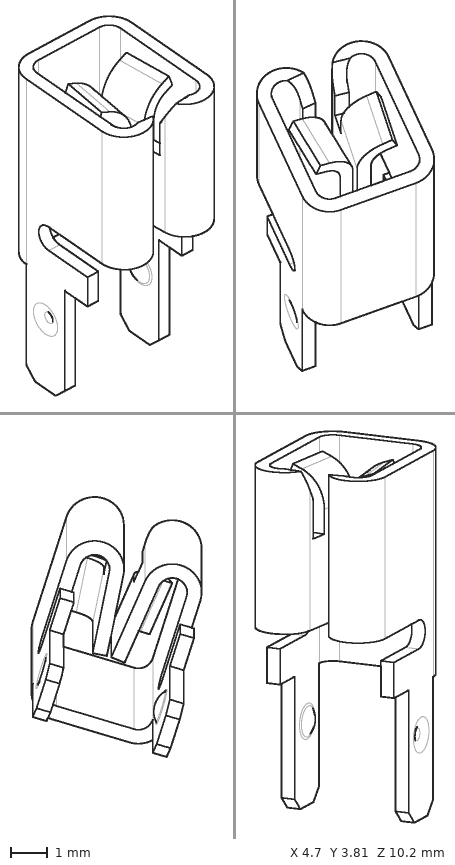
import cadquery as cq
import math

length = 4.7
width = 3.81
height = 10.16
sheet = 0.4
bend_radius = 0.8
half_width = width / 2

shell_bottom = 3.81
pin_width = 1.57
pin_chamfer = 0.37
foot_end = 3.32
slot_start = 1.32
slot_top = 5.62
slot_width = 0.8

dimple_height = 2.38
dimple_radius = 0.5
dimple_rise = 0.18
dent_ball_radius = 0.26

arm_tilt = 6.0
arm_length = 2.33
slope_start = -0.35
notch_start = 0.18
notch_end = 0.76
slope_drop = 0.9
notch_depth = 2.0

flare_radius = 1.1
flare_angle = 70.0
flare_tip_length = 0.29
flare_tip_drop = 0.16

bend_start = bend_radius
curl_x = length - bend_radius
curl_y = -half_width + bend_radius
inner_radius = bend_radius - sheet


def polar(center, radius, degrees):
    angle = math.radians(degrees)
    return (center[0] + radius * math.cos(angle), center[1] + radius * math.sin(angle))


def half_shell():
    """Back wall, rounded corner and side wall on the -Y side, cut to the side outline."""
    corner = (bend_start, curl_y)
    strip = (
        cq.Workplane("XY")
        .moveTo(0, 0)
        .lineTo(0, curl_y)
        .threePointArc(polar(corner, bend_radius, 225), (bend_start, -half_width))
        .lineTo(curl_x, -half_width)
        .lineTo(curl_x, -half_width + sheet)
        .lineTo(bend_start, -half_width + sheet)
        .threePointArc(polar(corner, inner_radius, 225), (sheet, curl_y))
        .lineTo(sheet, 0)
        .close()
        .extrude(height)
    )
    pin_end = bend_start + pin_width
    slot_radius = slot_width / 2
    slot_bottom = slot_top - slot_width
    outline = (
        cq.Workplane("XZ")
        .moveTo(0, height)
        .lineTo(0, shell_bottom)
        .lineTo(bend_start, shell_bottom)
        .lineTo(bend_start, pin_chamfer)
        .lineTo(bend_start + pin_chamfer, 0)
        .lineTo(pin_end - pin_chamfer, 0)
        .lineTo(pin_end, pin_chamfer)
        .lineTo(pin_end, shell_bottom)
        .lineTo(foot_end, shell_bottom)
        .lineTo(foot_end, slot_bottom)
        .lineTo(slot_start + slot_radius, slot_bottom)
        .threePointArc((slot_start, slot_top - slot_radius), (slot_start + slot_radius, slot_top))
        .lineTo(curl_x, slot_top)
        .lineTo(curl_x, height)
        .close()
        .extrude(half_width)
    )
    return strip.intersect(outline)


def emboss_dimple(shell):
    """Replace a disc of the pin by a dome of constant sheet thickness."""
    radius_sum = (dimple_radius**2 + dimple_rise**2) / (2 * dimple_rise)
    lip_radius = radius_sum - dent_ball_radius
    turn = math.degrees(math.asin(dimple_radius / radius_sum))
    ball_center = (0, dimple_rise - dent_ball_radius)
    lip_center = (dimple_radius, lip_radius)
    dome_radius = dent_ball_radius + sheet
    inner_lip_radius = lip_radius - sheet

    plane = cq.Plane(
        origin=(bend_start + pin_width / 2, -half_width, dimple_height),
        xDir=(1, 0, 0),
        normal=(0, 0, 1),
    )
    dome = (
        cq.Workplane(plane)
        .moveTo(0, dimple_rise)
        .threePointArc(
            polar(ball_center, dent_ball_radius, 90 - turn / 2),
            polar(ball_center, dent_ball_radius, 90 - turn),
        )
        .threePointArc(polar(lip_center, lip_radius, 270 - turn / 2), (dimple_radius, 0))
        .lineTo(dimple_radius, sheet)
        .threePointArc(
            polar(lip_center, inner_lip_radius, 270 - turn / 2),
            polar(lip_center, inner_lip_radius, 270 - turn),
        )
        .threePointArc(polar(ball_center, dome_radius, 90 - turn / 2), (0, dimple_rise + sheet))
        .close()
        .revolve(360, (0, 0), (0, 1))
    )
    disc = cq.Workplane("XZ", origin=plane.origin.toTuple()).circle(dimple_radius).extrude(-sheet)
    return shell.cut(disc).union(dome)


def half_spring():
    """Curl, tilted arm and flared contact tab on the -Y side."""
    curl = (curl_x, curl_y)
    arm_angle = 90 - arm_tilt
    along = polar((0, 0), 1, 180 - arm_tilt)
    across = polar((0, 0), 1, arm_angle)
    outer_start = polar(curl, bend_radius, arm_angle)
    inner_start = polar(curl, inner_radius, arm_angle)
    outer_end = polar(outer_start, arm_length, 180 - arm_tilt)
    inner_end = polar(inner_start, arm_length, 180 - arm_tilt)
    blank = (
        cq.Workplane("XY", origin=(0, 0, slot_top))
        .moveTo(curl_x, -half_width)
        .threePointArc(polar(curl, bend_radius, 0), outer_start)
        .lineTo(*outer_end)
        .lineTo(*inner_end)
        .lineTo(*inner_start)
        .threePointArc(polar(curl, inner_radius, 0), (curl_x, -half_width + sheet))
        .close()
        .extrude(height - slot_top)
    )

    bend = math.radians(flare_angle)
    flare_base = -flare_tip_drop - flare_radius * math.sin(bend) - flare_tip_length * math.cos(bend)

    arm_origin = (*outer_start, height)
    arm_face = cq.Plane(origin=arm_origin, xDir=(*along, 0), normal=(*across, 0))
    clearance = (
        cq.Workplane(arm_face)
        .moveTo(slope_start, 0)
        .lineTo(notch_start, -slope_drop)
        .lineTo(notch_start, -notch_depth)
        .lineTo(notch_end, -notch_depth)
        .lineTo(notch_end, flare_base)
        .lineTo(arm_length, flare_base)
        .lineTo(arm_length, 0)
        .close()
        .extrude(-bend_radius)
    )

    arm_section = cq.Plane(origin=arm_origin, xDir=(*across, 0), normal=(-along[0], -along[1], 0))
    flare_center = (-flare_radius, flare_base)
    back_radius = flare_radius - sheet
    tip_direction = flare_angle + 90
    front_bend_end = polar(flare_center, flare_radius, flare_angle)
    back_bend_end = polar(flare_center, back_radius, flare_angle)
    flare = (
        cq.Workplane(arm_section)
        .workplane(offset=-notch_end)
        .moveTo(0, flare_base)
        .threePointArc(polar(flare_center, flare_radius, flare_angle / 2), front_bend_end)
        .lineTo(*polar(front_bend_end, flare_tip_length, tip_direction))
        .lineTo(*polar(back_bend_end, flare_tip_length, tip_direction))
        .lineTo(*back_bend_end)
        .threePointArc(polar(flare_center, back_radius, flare_angle / 2), (-sheet, flare_base))
        .close()
        .extrude(notch_end - arm_length)
    )
    return blank.cut(clearance).union(flare)


half = emboss_dimple(half_shell()).union(half_spring())
result = half.union(half.mirror("XZ"))